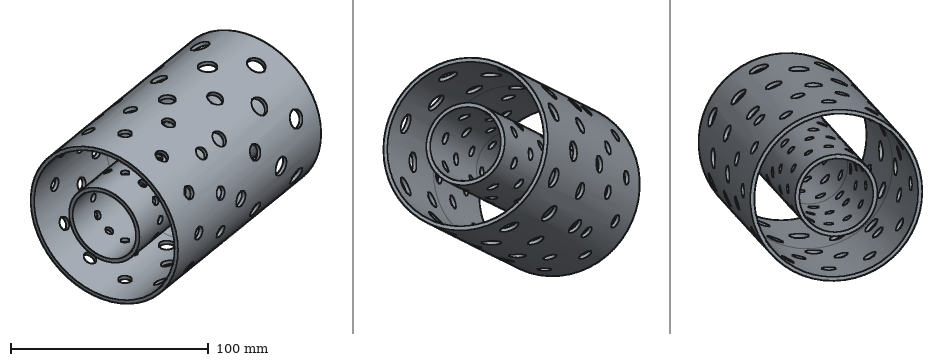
import cadquery as cq

length = 133.8
wall = 2.1
outer_tube_diameter = 88.8
inner_tube_diameter = 42.4

outer_large, outer_medium, outer_small = 10.0, 8.5, 7.0
inner_large, inner_medium, inner_small = 6.0, 5.2, 4.4

coarse_count = 8
fine_count = 12

hole_rows = [
    (48.8, coarse_count, 0.5, outer_large, inner_large),
    (29.5, coarse_count, 0.0, outer_large, inner_large),
    (10.5, coarse_count, 0.5, outer_medium, inner_medium),
    (-8.2, coarse_count, 0.0, outer_medium, inner_medium),
    (-24.8, fine_count, 0.5, outer_small, inner_small),
    (-47.5, fine_count, 0.0, outer_small, inner_small),
]


def plain_tube(diameter):
    """Tube along Y with open ends."""
    return (
        cq.Workplane("XZ")
        .circle(diameter / 2)
        .circle(diameter / 2 - wall)
        .extrude(length / 2, both=True)
    )


def radial_drills(y, count, start_pitches, hole_diameter, tube_diameter):
    """Ring of radial cylinders that each pierce one side of the tube wall."""
    start_radius = tube_diameter / 2 - 2 * wall
    drill_length = 3 * wall
    pitch_angle = 360 / count
    drill = (
        cq.Workplane("XY", origin=(0, y, start_radius))
        .circle(hole_diameter / 2)
        .extrude(drill_length)
    )
    return [
        drill.rotate((0, 0, 0), (0, 1, 0), (start_pitches + i) * pitch_angle).val()
        for i in range(count)
    ]


def perforated_tube(tube_diameter, rows):
    """Tube pierced by every row of radial holes."""
    drills = []
    for y, count, start_pitches, hole_diameter in rows:
        drills += radial_drills(y, count, start_pitches, hole_diameter, tube_diameter)
    return plain_tube(tube_diameter).cut(cq.Compound.makeCompound(drills))


outer_rows = [(y, count, start, outer_hole) for y, count, start, outer_hole, _ in hole_rows]
inner_rows = [(y, count, start, inner_hole) for y, count, start, _, inner_hole in hole_rows]

outer_tube = perforated_tube(outer_tube_diameter, outer_rows)
inner_tube = perforated_tube(inner_tube_diameter, inner_rows)

result = cq.Compound.makeCompound([outer_tube.val(), inner_tube.val()])